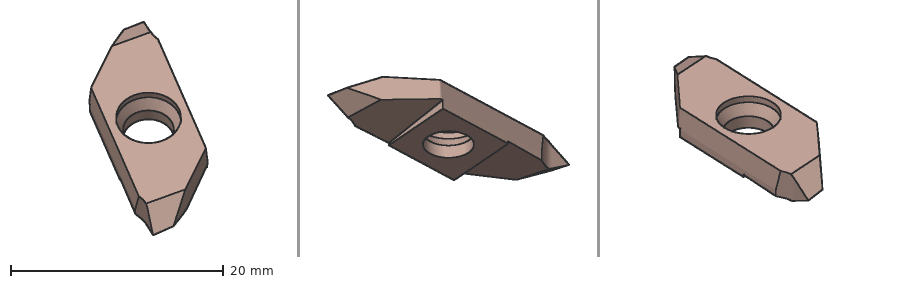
import cadquery as cq
import math

height = 3.2
half_width = 4.15
skirt_height = 0.87
draft_angle = 5.0
corner_x = 5.3
diagonal_angle = 40.0
corner_radius = 0.37

tip_x = 12.46
tip_outer = (-tip_x, 3.8, 1.6)
tip_inner = (-12.12, 1.7, 1.67)
upper_bevel_point = (-9.82, 3.6, height)
lower_bevel_point = (-9.97, 3.75, 0.12)

relief_start = (-10.3, 3.6)
relief_end = (-9.05, 3.81)
relief_exit = (-8.33, half_width)

pad_end_at_tip_side = 3.81
pad_end_at_diagonal_side = 5.04
wing_points = ((-9.55, -0.52, 0.52), (-5.04, -half_width, 0.97), (-9.97, 3.75, 0.12))

bore_diameter = 4.8
mouth_diameter = 6.13
mouth_depth = 0.7
seat_top_diameter = 5.98
seat_bottom_diameter = 4.94
seat_depth = 0.9
upper_bevel_depth = 0.1
lower_bevel_depth = 0.15

margin = 7.48
cutter_size = 49.85


def half_space(points, upward):
    """Large block on the upper or lower side of the plane through three points."""
    first, second, third = (cq.Vector(*point) for point in points)
    normal = (second - first).cross(third - first).normalized()
    if (normal.z > 0) != upward:
        normal = normal * -1
    plane = cq.Plane(origin=first, xDir=second - first, normal=normal)
    return cq.Workplane(plane).rect(cutter_size, cutter_size).extrude(cutter_size)


def make_body():
    diagonal_run = 2 * half_width / math.tan(math.radians(diagonal_angle))
    far_x = corner_x + diagonal_run
    outline = [
        (-corner_x, -half_width),
        (far_x, -half_width),
        (corner_x, half_width),
        (-far_x, half_width),
    ]
    skirt = cq.Workplane("XY").polyline(outline).close().extrude(skirt_height)
    for side in (-1, 1):
        corner = cq.selectors.NearestToPointSelector(
            (side * corner_x, side * half_width, skirt_height / 2)
        )
        skirt = skirt.edges(corner).fillet(corner_radius)
    drafted = (
        skirt.faces(">Z").wires().toPending()
        .extrude(height - skirt_height, combine=False, taper=draft_angle)
    )
    return skirt.union(drafted)


def relief_cutter():
    slope = (relief_start[1] - tip_outer[1]) / (relief_start[0] - tip_outer[0])
    outer = (tip_outer[0] - margin, tip_outer[1] - slope * margin)
    return (
        cq.Workplane("XY").moveTo(*outer)
        .lineTo(*relief_start)
        .tangentArcPoint(relief_end, relative=False)
        .lineTo(*relief_exit)
        .lineTo(relief_exit[0], half_width + margin)
        .lineTo(outer[0], half_width + margin)
        .close().extrude(height)
    )


def wing_cutter():
    pad_slope = (pad_end_at_diagonal_side - pad_end_at_tip_side) / (2 * half_width)
    overshoot = pad_slope * margin
    reach = half_width + margin
    region = (
        cq.Workplane("XY")
        .polyline([
            (-pad_end_at_tip_side + overshoot, reach),
            (-pad_end_at_diagonal_side - overshoot, -reach),
            (-tip_x - margin, -reach),
            (-tip_x - margin, reach),
        ])
        .close().extrude(height)
    )
    return region.intersect(half_space(wing_points, upward=False))


def end_cutters():
    return [
        half_space((tip_outer, tip_inner, upper_bevel_point), upward=True),
        half_space((tip_outer, tip_inner, lower_bevel_point), upward=False),
        relief_cutter(),
        wing_cutter(),
    ]


def hole_cutter():
    mouth_bottom = height - mouth_depth
    seat_top = mouth_bottom - upper_bevel_depth
    seat_bottom = seat_top - seat_depth
    return (
        cq.Workplane("XZ")
        .polyline([
            (0, 0),
            (bore_diameter / 2, 0),
            (bore_diameter / 2, seat_bottom - lower_bevel_depth),
            (seat_bottom_diameter / 2, seat_bottom),
            (seat_top_diameter / 2, seat_top),
            (mouth_diameter / 2, mouth_bottom),
            (mouth_diameter / 2, height),
            (0, height),
        ])
        .close().revolve(360, (0, 0, 0), (0, 1, 0))
    )


result = make_body().cut(hole_cutter())
for turn in (0, 180):
    for cutter in end_cutters():
        result = result.cut(cutter.rotate((0, 0, 0), (0, 0, 1), turn))